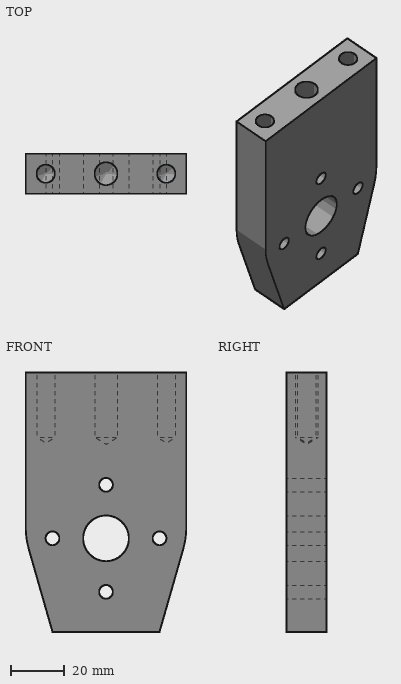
import cadquery as cq
import math

height = 97.0
width = 60.0
thickness = 15.0
bottom_width = 40.0
shoulder_height = 35.0
shoulder_radius = 30.0

bore_diameter = 17.0
bore_height = shoulder_height
mount_diameter = 5.0
mount_circle_radius = 20.0
mount_count = 4

centre_drill_diameter = 8.5
side_drill_diameter = 6.8
side_drill_offset = 22.5
drill_depth = 24.25
drill_tip_angle = 118.0


def tapered_plate():
    """Plate centred on X and Y, standing on Z = 0, with rounded shoulders."""
    outline = [
        (-bottom_width / 2, 0),
        (bottom_width / 2, 0),
        (width / 2, shoulder_height),
        (width / 2, height),
        (-width / 2, height),
        (-width / 2, shoulder_height),
    ]
    back_plane = cq.Workplane("XZ", origin=(0, thickness / 2, 0))
    plate = back_plane.polyline(outline).close().extrude(thickness)
    shoulder_edges = plate.edges("|Y").edges(
        cq.selectors.BoxSelector(
            (-width, -thickness, shoulder_height / 2),
            (width, thickness, (shoulder_height + height) / 2),
        )
    )
    return shoulder_edges.fillet(shoulder_radius)


def cross_hole(x, z, diameter):
    """Cylinder through the full thickness of the plate."""
    back_plane = cq.Workplane("XZ", origin=(0, thickness / 2, 0))
    return back_plane.center(x, z).circle(diameter / 2).extrude(thickness)


def top_drill(x, diameter):
    """Blind drilled hole from the top face, ending in a conical tip."""
    radius = diameter / 2
    tip_length = radius / math.tan(math.radians(drill_tip_angle / 2))
    shoulder_z = height - drill_depth
    profile = [
        (0, height),
        (radius, height),
        (radius, shoulder_z),
        (0, shoulder_z - tip_length),
    ]
    drill = cq.Workplane("XZ").polyline(profile).close().revolve(360, (0, 0), (0, 1))
    return drill.translate((x, 0, 0))


result = tapered_plate().cut(cross_hole(0, bore_height, bore_diameter))

for index in range(mount_count):
    angle = 2 * math.pi * index / mount_count
    mount_x = mount_circle_radius * math.cos(angle)
    mount_z = bore_height + mount_circle_radius * math.sin(angle)
    result = result.cut(cross_hole(mount_x, mount_z, mount_diameter))

result = result.cut(top_drill(0, centre_drill_diameter))
for side in (-1, 1):
    result = result.cut(top_drill(side * side_drill_offset, side_drill_diameter))